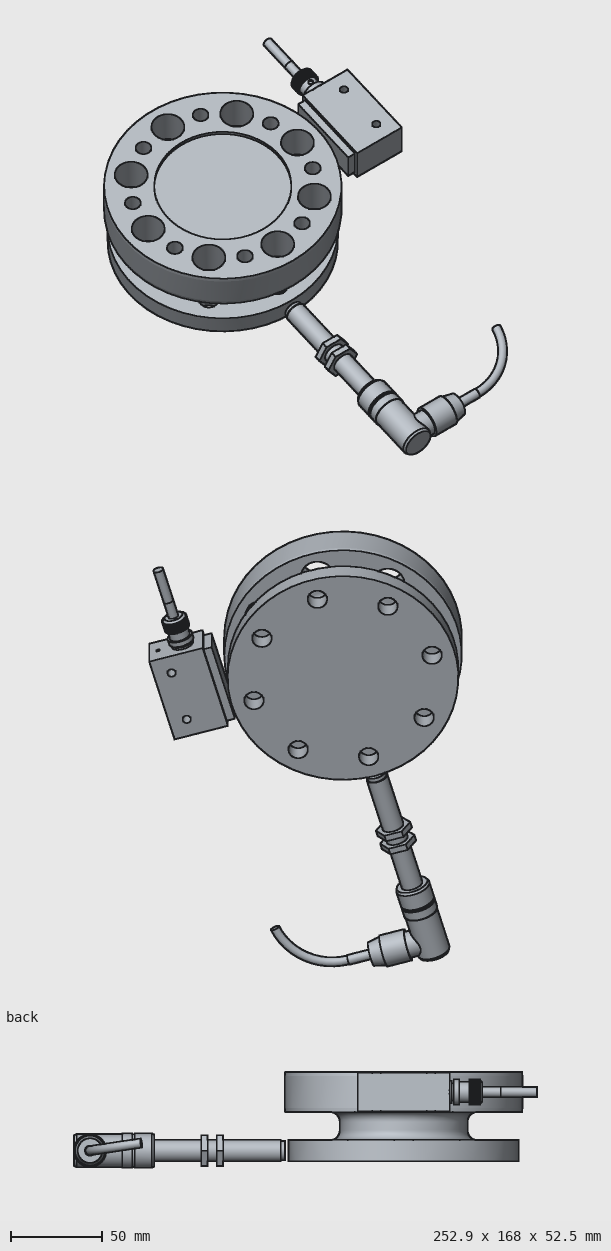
import cadquery as cq
import math

ROTOR_HEIGHT = 48.8
DISK_DIAMETER = 130.0
DISK_THICKNESS = 22.0
DISK_BEVEL_HEIGHT = 2.3
DISK_BEVEL_WIDTH = 0.3
FLANGE_DIAMETER = 126.0
FLANGE_THICKNESS = 11.6
NECK_DIAMETER = 70.0
NECK_FILLET = 5.0
RECESS_DIAMETER = 75.0
RECESS_DEPTH = 2.0
BOLT_COUNT = 8
BOLT_CIRCLE_RADIUS = 50.5
DISK_HOLE_DIAMETER = 18.0
FLANGE_HOLE_DIAMETER = 10.5
SMALL_HOLE_DIAMETER = 8.5
DISK_BOTTOM = ROTOR_HEIGHT - DISK_THICKNESS

HOUSING_WIDTH = 50.0
HOUSING_DEPTH = 30.4
HOUSING_HEIGHT = 21.0
HOUSING_BACK = 103.0
HOUSING_FRONT = HOUSING_BACK - HOUSING_DEPTH
HOUSING_MID_Z = DISK_BOTTOM + DISK_THICKNESS / 2
FACE_PAD_WIDTH = 46.0
FACE_PAD_DEPTH = 4.5
FACE_PAD_HEIGHT = 16.5
MOUNT_HOLE_DIAMETER = 4.5
MOUNT_HOLE_SPACING = 29.9
MOUNT_HOLE_Y = 93.0
SIDE_HOLE_DIAMETER = 2.0
SIDE_HOLE_DEPTH = 2.0
SIDE_HOLE_Y = 98.0

BAYONET_Y = 84.0
JACK_BASE_DIAMETER = 12.1
JACK_BASE_LENGTH = 1.3
JACK_NECK_DIAMETER = 9.5
JACK_NECK_LENGTH = 1.0
PLUG_RIM_DIAMETER = 14.0
PLUG_RIM_LENGTH = 3.0
PLUG_SLEEVE_DIAMETER = 11.5
PLUG_SLEEVE_LENGTH = 5.3
BAYONET_HOLE_DIAMETER = 2.8
BAYONET_HOLE_DEPTH = 1.0
KNURL_DIAMETER = 14.0
KNURL_LENGTH = 6.0
KNURL_DEPTH = 0.5
KNURL_TEETH = 36
PLUG_BEVEL_LENGTH = 1.3
PLUG_BEVEL_LARGE_DIAMETER = 13.2
PLUG_BEVEL_SMALL_DIAMETER = 10.0
FERRULE_LENGTH = 9.9
BAYONET_CABLE_DIAMETER = 5.5
BAYONET_CABLE_LENGTH = 20.0
JACK_BASE_X = -HOUSING_WIDTH / 2
PLUG_FRONT_X = JACK_BASE_X - JACK_BASE_LENGTH - JACK_NECK_LENGTH
PLUG_SLEEVE_X = PLUG_FRONT_X - PLUG_RIM_LENGTH
KNURL_FRONT_X = PLUG_SLEEVE_X - PLUG_SLEEVE_LENGTH
KNURL_REAR_X = KNURL_FRONT_X - KNURL_LENGTH
PLUG_REAR_X = KNURL_REAR_X - PLUG_BEVEL_LENGTH
BAYONET_CABLE_FRONT_X = PLUG_REAR_X - FERRULE_LENGTH

SENSOR_Z = FLANGE_THICKNESS / 2
SENSOR_START_X = 64.8
SENSOR_DIAMETER = 12.0
SENSOR_TIP_DIAMETER = 10.5
SENSOR_TIP_LENGTH = 2.3
NUT_WIDTH_ACROSS_FLATS = 17.0
NUT_THICKNESS = 3.5
NUT_START_X = (98.7, 107.0)

CONNECTOR_START_X = 136.0
CONNECTOR_END_X = 180.1
COUPLING_DIAMETER = 19.0
COUPLING_LENGTH = 17.5
COUPLING_GROOVE_OFFSET = 11.0
COUPLING_GROOVE_WIDTH = 1.3
COUPLING_GROOVE_DEPTH = 0.5
ELBOW_BODY_DIAMETER = 18.2
CHAMFER_LENGTH = 1.5
CHAMFER_RISE = 0.8
OUTLET_X = 171.3
OUTLET_NECK_DIAMETER = 14.7
OUTLET_COLLAR_DIAMETER = 17.7
OUTLET_COLLAR_START_Y = 12.5
OUTLET_CONE_START_Y = 26.3
OUTLET_CONE_END_Y = 33.5
OUTLET_CONE_LARGE_DIAMETER = 16.5
OUTLET_CONE_SMALL_DIAMETER = 13.5
OUTLET_SLEEVE_DIAMETER = 5.5
OUTLET_SLEEVE_END_Y = 46.3

BENT_CABLE_DIAMETER = 5.0
BENT_CABLE_RADIUS = 34.2
BENT_CABLE_ANGLE = 80.0
BENT_CABLE_TILT = 8.4


def cylinder_along_x(diameter, start_x, end_x, y, z):
    """Cylinder whose axis is parallel to X."""
    profile = cq.Workplane("YZ", origin=(start_x, y, z)).circle(diameter / 2)
    return profile.extrude(end_x - start_x)


def turned_along_x(points, y, z):
    """Turned body from (x, radius) points of its outline, about an axis parallel to X."""
    return (
        cq.Workplane("XY", origin=(0, y, z))
        .polyline(points)
        .close()
        .revolve(360, (0, 0, 0), (1, 0, 0))
    )


def bolt_holes(diameter, bottom_z, height, start_angle):
    """Ring of equally spaced hole cutters parallel to Z."""
    return (
        cq.Workplane("XY", origin=(0, 0, bottom_z))
        .polarArray(BOLT_CIRCLE_RADIUS, start_angle, 360, BOLT_COUNT)
        .circle(diameter / 2)
        .extrude(height)
    )


def make_rotor():
    """Thick disk and thinner flange joined by a filleted neck."""
    disk_radius = DISK_DIAMETER / 2
    bevel_radius = disk_radius - DISK_BEVEL_WIDTH
    neck_radius = NECK_DIAMETER / 2
    fillet_edge = neck_radius + NECK_FILLET
    flange_radius = FLANGE_DIAMETER / 2
    recess_radius = RECESS_DIAMETER / 2
    body = (
        cq.Workplane("XZ")
        .moveTo(0, 0)
        .lineTo(flange_radius, 0)
        .lineTo(flange_radius, FLANGE_THICKNESS)
        .lineTo(fillet_edge, FLANGE_THICKNESS)
        .radiusArc((neck_radius, FLANGE_THICKNESS + NECK_FILLET), NECK_FILLET)
        .lineTo(neck_radius, DISK_BOTTOM - NECK_FILLET)
        .radiusArc((fillet_edge, DISK_BOTTOM), NECK_FILLET)
        .lineTo(bevel_radius, DISK_BOTTOM)
        .lineTo(disk_radius, DISK_BOTTOM + DISK_BEVEL_HEIGHT)
        .lineTo(disk_radius, ROTOR_HEIGHT - DISK_BEVEL_HEIGHT)
        .lineTo(bevel_radius, ROTOR_HEIGHT)
        .lineTo(recess_radius, ROTOR_HEIGHT)
        .lineTo(recess_radius, ROTOR_HEIGHT - RECESS_DEPTH)
        .lineTo(0, ROTOR_HEIGHT - RECESS_DEPTH)
        .close()
        .revolve(360, (0, 0, 0), (0, 1, 0))
    )
    half_pitch = 180 / BOLT_COUNT
    return (
        body.cut(bolt_holes(FLANGE_HOLE_DIAMETER, 0, FLANGE_THICKNESS, 0))
        .cut(bolt_holes(DISK_HOLE_DIAMETER, DISK_BOTTOM, DISK_THICKNESS, 0))
        .cut(bolt_holes(SMALL_HOLE_DIAMETER, DISK_BOTTOM, DISK_THICKNESS, half_pitch))
    )


def make_housing():
    """Block with a smaller pad facing the rotor and two vertical mounting holes."""
    block = cq.Workplane("XY").box(HOUSING_WIDTH, HOUSING_DEPTH, HOUSING_HEIGHT)
    block = block.translate((0, HOUSING_BACK - HOUSING_DEPTH / 2, HOUSING_MID_Z))
    pad = cq.Workplane("XY").box(FACE_PAD_WIDTH, FACE_PAD_DEPTH, FACE_PAD_HEIGHT)
    pad = pad.translate((0, HOUSING_FRONT - FACE_PAD_DEPTH / 2, HOUSING_MID_Z))
    mount_holes = (
        cq.Workplane("XY", origin=(0, MOUNT_HOLE_Y, HOUSING_MID_Z))
        .pushPoints([(-MOUNT_HOLE_SPACING / 2, 0), (MOUNT_HOLE_SPACING / 2, 0)])
        .circle(MOUNT_HOLE_DIAMETER / 2)
        .extrude(HOUSING_HEIGHT / 2, both=True)
    )
    side_x = -HOUSING_WIDTH / 2
    side_hole = cylinder_along_x(
        SIDE_HOLE_DIAMETER, side_x, side_x + SIDE_HOLE_DEPTH, SIDE_HOLE_Y, HOUSING_MID_Z
    )
    return block.union(pad).cut(mount_holes).cut(side_hole)


def make_jack():
    """Round base against the housing with a neck that meets the plug."""
    neck_start_x = JACK_BASE_X - JACK_BASE_LENGTH
    base = cylinder_along_x(
        JACK_BASE_DIAMETER, neck_start_x, JACK_BASE_X, BAYONET_Y, HOUSING_MID_Z
    )
    neck = cylinder_along_x(
        JACK_NECK_DIAMETER, PLUG_FRONT_X, neck_start_x, BAYONET_Y, HOUSING_MID_Z
    )
    return base.union(neck)


def make_knurl():
    """Ring of straight V-shaped teeth around the plug."""
    outline = []
    for i in range(2 * KNURL_TEETH):
        angle = math.pi * i / KNURL_TEETH
        radius = KNURL_DIAMETER / 2 - KNURL_DEPTH * (i % 2)
        outline.append((radius * math.cos(angle), radius * math.sin(angle)))
    profile = cq.Workplane("YZ", origin=(KNURL_REAR_X, BAYONET_Y, HOUSING_MID_Z))
    return profile.polyline(outline).close().extrude(KNURL_LENGTH)


def make_plug():
    """Rimmed sleeve, knurled grip with a bevelled rear, and a cable ferrule."""
    rim_radius = PLUG_RIM_DIAMETER / 2
    sleeve_radius = PLUG_SLEEVE_DIAMETER / 2
    front = turned_along_x(
        [
            (PLUG_FRONT_X, 0),
            (PLUG_FRONT_X, rim_radius),
            (PLUG_SLEEVE_X, rim_radius),
            (PLUG_SLEEVE_X, sleeve_radius),
            (KNURL_FRONT_X, sleeve_radius),
            (KNURL_FRONT_X, 0),
        ],
        BAYONET_Y,
        HOUSING_MID_Z,
    )
    ferrule_radius = BAYONET_CABLE_DIAMETER / 2
    rear = turned_along_x(
        [
            (KNURL_REAR_X, 0),
            (KNURL_REAR_X, PLUG_BEVEL_LARGE_DIAMETER / 2),
            (PLUG_REAR_X, PLUG_BEVEL_SMALL_DIAMETER / 2),
            (PLUG_REAR_X, ferrule_radius),
            (BAYONET_CABLE_FRONT_X, ferrule_radius),
            (BAYONET_CABLE_FRONT_X, 0),
        ],
        BAYONET_Y,
        HOUSING_MID_Z,
    )
    hole_x = PLUG_SLEEVE_X - PLUG_SLEEVE_LENGTH / 2
    hole_floor_z = HOUSING_MID_Z + sleeve_radius - BAYONET_HOLE_DEPTH
    bayonet_hole = (
        cq.Workplane("XY", origin=(hole_x, BAYONET_Y, hole_floor_z))
        .circle(BAYONET_HOLE_DIAMETER / 2)
        .extrude(2 * BAYONET_HOLE_DEPTH)
    )
    return front.cut(bayonet_hole).union(make_knurl()).union(rear)


def make_bayonet_cable():
    """Straight cable behind the plug ferrule."""
    end_x = BAYONET_CABLE_FRONT_X - BAYONET_CABLE_LENGTH
    return cylinder_along_x(
        BAYONET_CABLE_DIAMETER, end_x, BAYONET_CABLE_FRONT_X, BAYONET_Y, HOUSING_MID_Z
    )


def make_sensor():
    """Round barrel with a slightly thinner sensing tip."""
    barrel_x = SENSOR_START_X + SENSOR_TIP_LENGTH
    tip = cylinder_along_x(SENSOR_TIP_DIAMETER, SENSOR_START_X, barrel_x, 0, SENSOR_Z)
    barrel = cylinder_along_x(SENSOR_DIAMETER, barrel_x, CONNECTOR_START_X, 0, SENSOR_Z)
    return tip.union(barrel)


def make_nut(start_x):
    """Hexagon nut on the sensor barrel, with flats at its top and bottom."""
    width_across_corners = NUT_WIDTH_ACROSS_FLATS / math.cos(math.radians(30))
    return (
        cq.Workplane("YZ", origin=(start_x, 0, SENSOR_Z))
        .polygon(6, width_across_corners)
        .circle(SENSOR_DIAMETER / 2)
        .extrude(NUT_THICKNESS)
    )


def make_elbow_connector():
    """Grooved coupling and round body along X, with a stepped cable outlet along Y."""
    coupling_radius = COUPLING_DIAMETER / 2
    groove_radius = coupling_radius - COUPLING_GROOVE_DEPTH
    body_radius = ELBOW_BODY_DIAMETER / 2
    groove_start_x = CONNECTOR_START_X + COUPLING_GROOVE_OFFSET
    groove_end_x = groove_start_x + COUPLING_GROOVE_WIDTH
    coupling_end_x = CONNECTOR_START_X + COUPLING_LENGTH
    straight = turned_along_x(
        [
            (CONNECTOR_START_X, 0),
            (CONNECTOR_START_X, coupling_radius - CHAMFER_RISE),
            (CONNECTOR_START_X + CHAMFER_LENGTH, coupling_radius),
            (groove_start_x, coupling_radius),
            (groove_start_x, groove_radius),
            (groove_end_x, groove_radius),
            (groove_end_x, coupling_radius),
            (coupling_end_x, coupling_radius),
            (coupling_end_x, body_radius),
            (CONNECTOR_END_X - CHAMFER_LENGTH, body_radius),
            (CONNECTOR_END_X, body_radius - CHAMFER_RISE),
            (CONNECTOR_END_X, 0),
        ],
        0,
        SENSOR_Z,
    )
    outlet = (
        cq.Workplane("XY", origin=(OUTLET_X, 0, SENSOR_Z))
        .polyline(
            [
                (0, 0),
                (OUTLET_NECK_DIAMETER / 2, 0),
                (OUTLET_NECK_DIAMETER / 2, OUTLET_COLLAR_START_Y),
                (OUTLET_COLLAR_DIAMETER / 2, OUTLET_COLLAR_START_Y),
                (OUTLET_COLLAR_DIAMETER / 2, OUTLET_CONE_START_Y),
                (OUTLET_CONE_LARGE_DIAMETER / 2, OUTLET_CONE_START_Y),
                (OUTLET_CONE_SMALL_DIAMETER / 2, OUTLET_CONE_END_Y),
                (OUTLET_SLEEVE_DIAMETER / 2, OUTLET_CONE_END_Y),
                (OUTLET_SLEEVE_DIAMETER / 2, OUTLET_SLEEVE_END_Y),
                (0, OUTLET_SLEEVE_END_Y),
            ]
        )
        .close()
        .revolve(360, (0, 0, 0), (0, 1, 0))
    )
    return straight.union(outlet)


def make_bent_cable():
    """Cable swept round an arc toward -X, in a plane tilted slightly upward."""
    flat_cable = (
        cq.Workplane("XZ")
        .circle(BENT_CABLE_DIAMETER / 2)
        .revolve(BENT_CABLE_ANGLE, (-BENT_CABLE_RADIUS, 0, 0), (-BENT_CABLE_RADIUS, 1, 0))
    )
    tilted_cable = flat_cable.rotate((0, 0, 0), (0, 1, 0), BENT_CABLE_TILT)
    return tilted_cable.translate((OUTLET_X, OUTLET_SLEEVE_END_Y, SENSOR_Z))


rotor = make_rotor()
housing = make_housing()
jack = make_jack()
plug = make_plug()
bayonet_cable = make_bayonet_cable()
sensor = make_sensor()
nuts = [make_nut(start_x) for start_x in NUT_START_X]
elbow_connector = make_elbow_connector()
bent_cable = make_bent_cable()

result = cq.Compound.makeCompound(
    [
        rotor.val(),
        housing.val(),
        jack.val(),
        plug.val(),
        bayonet_cable.val(),
        sensor.val(),
        *[nut.val() for nut in nuts],
        elbow_connector.val(),
        bent_cable.val(),
    ]
)